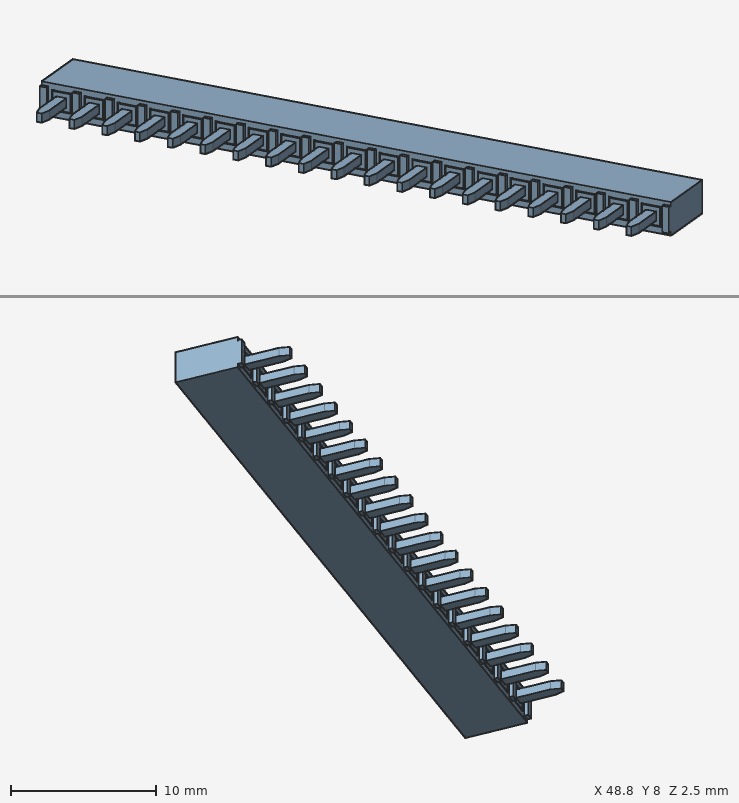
import cadquery as cq

length = 48.75
height = 2.5
total_depth = 8.0
pin_count = 19

body_depth = 4.7
standoff_depth = 0.3
standoff_width = 0.55
standoff_height = 1.95

groove_outer_size = 1.5
groove_inner_size = 1.35
groove_depth = 0.3

pin_width = 0.8
pin_height = 0.7
tip_width = 0.4
tip_length = 0.75
pin_root_depth = body_depth / 2

pitch = (length - standoff_width) / pin_count
first_standoff_x = -length / 2 + standoff_width / 2
standoff_places = [first_standoff_x + i * pitch for i in range(pin_count + 1)]
pin_places = [x + pitch / 2 for x in standoff_places[:-1]]

pin_end_y = body_depth - total_depth
tip_start_y = pin_end_y + tip_length


def make_block(x, front_y, back_y, width, block_height):
    """Rectangular block centred on x and Z = 0, reaching from front_y to back_y."""
    depth = back_y - front_y
    return cq.Workplane("XY").box(width, depth, block_height).translate((x, front_y + depth / 2, 0))


def make_groove(x):
    """Square ring cut into the pin-side face around a pin, leaving a flush island inside it."""
    outside = make_block(x, 0, groove_depth, groove_outer_size, groove_outer_size)
    island = make_block(x, 0, groove_depth, groove_inner_size, groove_inner_size)
    return outside.cut(island)


def make_pin(x):
    """Rectangular pin rooted inside the housing, with a tip tapered in width only."""
    half_pin = pin_width / 2
    half_tip = tip_width / 2
    outline = [
        (x - half_pin, pin_root_depth),
        (x - half_pin, tip_start_y),
        (x - half_tip, pin_end_y),
        (x + half_tip, pin_end_y),
        (x + half_pin, tip_start_y),
        (x + half_pin, pin_root_depth),
    ]
    return cq.Workplane("XY").polyline(outline).close().extrude(pin_height / 2, both=True)


result = make_block(0, 0, body_depth, length, height)

for x in standoff_places:
    result = result.union(make_block(x, -standoff_depth, 0, standoff_width, standoff_height))

for x in pin_places:
    result = result.cut(make_groove(x)).union(make_pin(x))